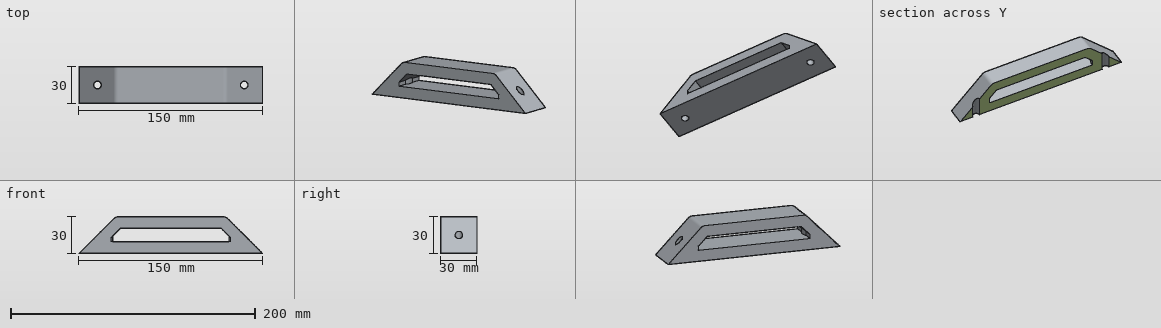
import cadquery as cq
import math

length = 150.0
width = 30.0
height = 30.0
end_slope = 45.0
shoulder_radius = 5.0

hole_diameter = 6.0
hole_inset = 15.0

wall = 9.5

half_length = length / 2
half_top = half_length - height / math.tan(math.radians(end_slope))
hole_x = half_length - hole_inset
window_floor = wall
window_ceiling = height - wall
hole_boss_radius = hole_diameter / 2 + wall
bulge_half_width = width / 2 - wall
half_window = hole_x - math.sqrt(hole_boss_radius**2 - bulge_half_width**2)
half_ceiling = half_top - wall * math.tan(math.radians(end_slope / 2))
slope_bottom = window_ceiling - (half_window - half_ceiling) * math.tan(math.radians(end_slope))


def prism(points):
    """Extrude an XZ outline across the full width, centred on Y = 0."""
    return cq.Workplane("XZ").polyline(points).close().extrude(width / 2, both=True)


def upright_cylinders(radius):
    """Full-height cylinders on both hole axes."""
    return (
        cq.Workplane("XY")
        .pushPoints([(-hole_x, 0), (hole_x, 0)])
        .circle(radius)
        .extrude(height)
    )


def make_body():
    body = prism([
        (-half_length, 0),
        (half_length, 0),
        (half_top, height),
        (-half_top, height),
    ])
    shoulders = body.faces(">Z").edges("|Y")
    return shoulders.fillet(shoulder_radius)


def make_window():
    opening = prism([
        (-half_window, window_floor),
        (half_window, window_floor),
        (half_window, slope_bottom),
        (half_ceiling, window_ceiling),
        (-half_ceiling, window_ceiling),
        (-half_window, slope_bottom),
    ])
    return opening.cut(upright_cylinders(hole_boss_radius))


screw_holes = upright_cylinders(hole_diameter / 2)
result = make_body().cut(make_window()).cut(screw_holes)